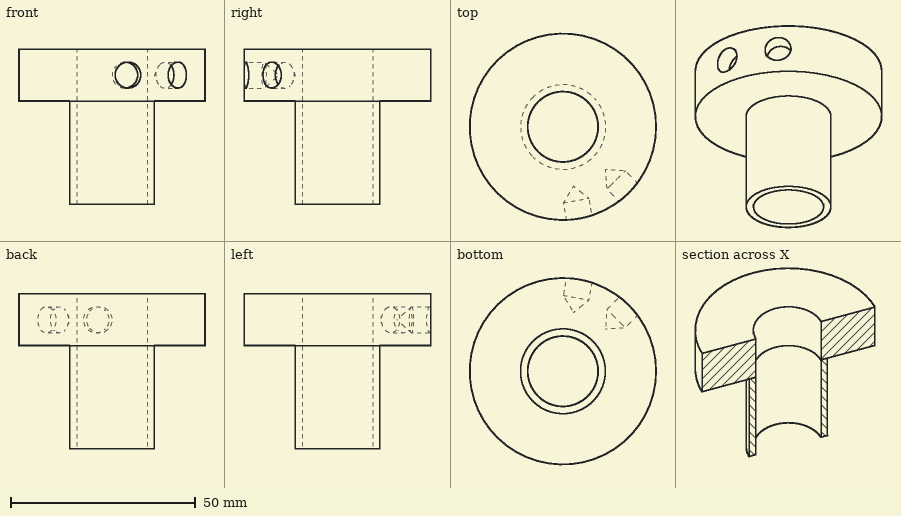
import cadquery as cq
import math

flange_diameter = 50.5
flange_thickness = 14.05
total_height = 42.0
tube_diameter = 23.0
bore_diameter = 19.0

hole_diameter = 7.0
hole_straight_depth = 5.0
hole_tip_angle = 82.0
hole_bearings = (-80.0, -45.0)

tube_length = total_height - flange_thickness
flange_radius = flange_diameter / 2
hole_radius = hole_diameter / 2
hole_tip_height = hole_radius / math.tan(math.radians(hole_tip_angle / 2))
hole_height = tube_length + flange_thickness / 2


def ring(outer_diameter, length, base_height):
    """Upright ring with the common bore through it."""
    return (
        cq.Workplane("XY")
        .workplane(offset=base_height)
        .circle(outer_diameter / 2)
        .circle(bore_diameter / 2)
        .extrude(length)
    )


def rim_hole_cutter(bearing):
    """Drill shape with a conical tip, pointing radially inward at the given bearing."""
    straight_end = flange_radius - hole_straight_depth
    tip = straight_end - hole_tip_height
    return (
        cq.Workplane("XY")
        .moveTo(tip, 0)
        .lineTo(straight_end, hole_radius)
        .lineTo(flange_radius + hole_radius, hole_radius)
        .lineTo(flange_radius + hole_radius, 0)
        .close()
        .revolve(360, (0, 0, 0), (1, 0, 0))
        .rotate((0, 0, 0), (0, 0, 1), bearing)
        .translate((0, 0, hole_height))
    )


def make_flange():
    """Thick ring resting on the tube, with drilled holes in its rim."""
    body = ring(flange_diameter, flange_thickness, tube_length)
    for bearing in hole_bearings:
        body = body.cut(rim_hole_cutter(bearing))
    return body


def make_tube():
    """Plain tube below the flange."""
    return ring(tube_diameter, tube_length, 0)


flange = make_flange()
tube = make_tube()

result = cq.Compound.makeCompound([*flange.solids().vals(), tube.val()])